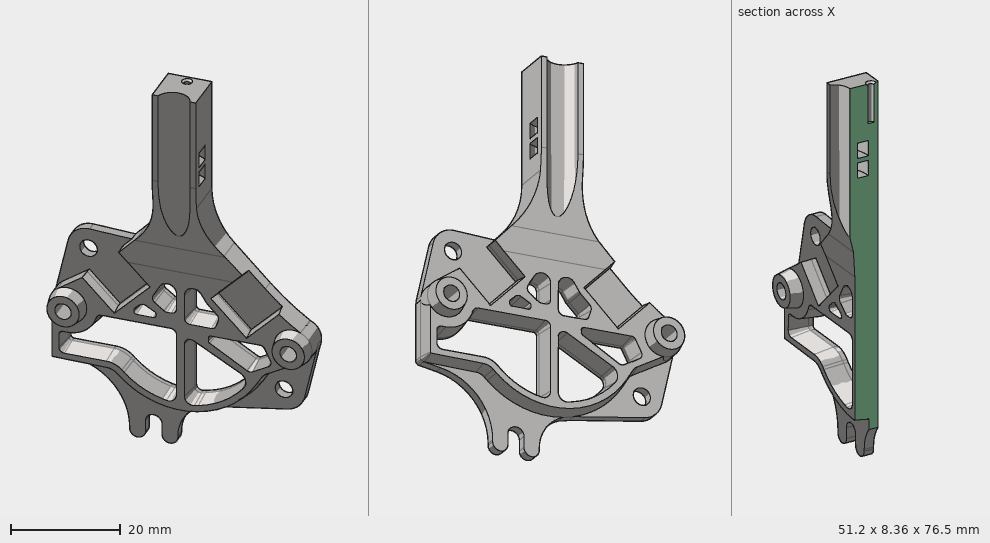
import cadquery as cq
import math


PLATE_DEPTH = 2.0
BODY_DEPTH = 5.0
BOSS_DEPTH = 7.5
STEM_DEPTH = 8.36
WINDOW_LAND = 1.0
POCKET_LAND = 3.0
RIGHT_POCKET_FLOOR = 2.5

WINDOW_DRAFT = 0.5
FRAME_DRAFT = 0.6
POCKET_DRAFT = 0.35

BOSS_X = 21.9
BOSS_SEAT_RADIUS = 3.68
BOSS_TIP_RADIUS = 3.15
BOSS_HOLE_DIAMETER = 3.2
LUG_X = 19.0
LUG_Z = 10.95
LUG_RADIUS = 4.1
LUG_HOLE_DIAMETER = 3.4
LEFT_BOSS = (-BOSS_X, 0)
RIGHT_BOSS = (BOSS_X, 0)
UPPER_LUG = (-LUG_X, LUG_Z)
LOWER_LUG = (LUG_X, -LUG_Z)
PLATE_TOP_AT_MIDDLE = 14.1

STEM_HALF_WIDTH = 4.25
STEM_TOP = 49.7
FLARE_RADIUS = 15.0
FLARE_X = STEM_HALF_WIDTH + FLARE_RADIUS
FLARE_Z = 27.3
STEM_FOOT = (-12.15, 13.0)
FRONT_BEND_TOP = 31.7
FRONT_INFLECTION = (-6.9, 22.6)
FRONT_RAMP_TOP = (-5.3, 16.5)
FRONT_RAMP_TANGENT = (0.2, -1)
FRONT_RAMP_BOTTOM = 11.4
SHOULDER_SWEEP_RADIUS = 49.0
SHOULDER_SWEEP_CENTER = (50.3, 44.3)
GROOVE_RADIUS = 3.25
GROOVE_AXIS_DEPTH = 9.3
TIE_INNER_RADIUS = 5.0
TIE_OUTER_RADIUS = 7.2
TIE_HEIGHT = 3.0
TIE_BOTTOMS = (31.2, 35.2)
TOP_HOLE_DIAMETER = 1.2
TOP_HOLE_MOUTH = 2.0
TOP_HOLE_AXIS_DEPTH = 1.55
TOP_HOLE_LENGTH = 8.0

OVERALL_HEIGHT = 76.52
BOTTOM = STEM_TOP - OVERALL_HEIGHT
FORK_X = -6.33
NOTCH_RADIUS = 1.6
TINE_RADIUS = 1.55
TINE_OFFSET = NOTCH_RADIUS + TINE_RADIUS
TINE_Z = BOTTOM + TINE_RADIUS
NOTCH_Z = -23.1
LEFT_SWEEP_RADIUS = 12.5
RIGHT_SWEEP_RADIUS = 7.5
SWEEP_Z = -24.9

FRAME_LEFT = -25.6
FRAME_BOTTOM = -12.0
FRAME_CORNER = 0.8
RING_Z = -0.5
RING_OUTER = 17.7
RING_INNER = 15.8
BEND = (-14.4, -14.55)
BEND_OUTER = 2.4
RIGHT_BEND = (17.97, -8.9)
RIGHT_BEND_RADIUS = 2.0
FRAME_END = (BOSS_X, -0.15)
RIB_HALF_WIDTH = 0.78
WINDOW_FLOOR = -10.24
WINDOW_ROOF = 0.8

DIAGONAL = math.sqrt(0.5)
POCKET_CORNER_X = 12.85
POCKET_CORNER_Z = 0.15
POCKET_WIDTH = 9.8
POCKET_LENGTH = 8.85
POCKET_OPEN_LENGTH = 13.0

SAME_POINT = 1e-4


def belt(circles, depth=0.0, grow=0.0):
    """Closed outline, counterclockwise, joining (x, z, radius) circles by tangent lines.

    A negative radius makes an inward-curving stretch and a zero radius a sharp corner.
    'grow' moves the whole outline outwards.
    """
    count = len(circles)
    rounds = [(x, z, r + grow) for x, z, r in circles]
    leaving = []
    for i, (x, z, r) in enumerate(rounds):
        next_x, next_z, next_r = rounds[(i + 1) % count]
        gap = math.hypot(next_x - x, next_z - z)
        lean = max(-1.0, min(1.0, (r - next_r) / gap))
        leaving.append(math.atan2(next_z - z, next_x - x) - math.acos(lean))

    def on_circle(i, angle):
        x, z, r = rounds[i % count]
        return (x + r * math.cos(angle), z + r * math.sin(angle))

    start = on_circle(0, leaving[0])
    outline = cq.Workplane("XZ", origin=(0, -depth, 0)).moveTo(*start)
    here = start
    for i in range(1, count + 1):
        angle_in = leaving[i - 1]
        angle_out = leaving[i % count]
        arrive = on_circle(i, angle_in)
        if math.dist(here, arrive) > SAME_POINT:
            outline = outline.lineTo(*arrive)
        radius = rounds[i % count][2]
        here = on_circle(i, angle_out)
        if radius != 0:
            turn = 1 if radius > 0 else -1
            sweep = turn * ((turn * (angle_out - angle_in)) % (2 * math.pi))
            middle = on_circle(i, angle_in + sweep / 2)
            outline = outline.threePointArc(middle, here)
    return outline.close()


def ruled_loft(start, end):
    """Solid with straight walls between two closed outlines."""
    wires = [start.wires().val(), end.wires().val()]
    return cq.Workplane(obj=cq.Solid.makeLoft(wires, True))


def drafted(circles, depth_from, depth_to, grow_from, grow_to):
    """Solid between two depths whose outline grows evenly from one to the other."""
    start = belt(circles, depth_from, grow_from)
    end = belt(circles, depth_to, grow_to)
    return ruled_loft(start, end)


def round_bar(center, radius, depth_from, depth_to):
    """Cylinder along Y between two depths."""
    plane = cq.Workplane("XZ", origin=(0, -depth_from, 0))
    return plane.center(*center).circle(radius).extrude(depth_to - depth_from)


def make_plate():
    """Thin back plate with two lugs and the fork at the bottom."""
    left_sweep_x = FORK_X - TINE_OFFSET - TINE_RADIUS - LEFT_SWEEP_RADIUS
    right_sweep_x = FORK_X + TINE_OFFSET + TINE_RADIUS + RIGHT_SWEEP_RADIUS
    return belt([
        (FRAME_LEFT + FRAME_CORNER, FRAME_BOTTOM + FRAME_CORNER, FRAME_CORNER),
        (left_sweep_x, SWEEP_Z, -LEFT_SWEEP_RADIUS),
        (FORK_X - TINE_OFFSET, TINE_Z, TINE_RADIUS),
        (FORK_X, NOTCH_Z, -NOTCH_RADIUS),
        (FORK_X + TINE_OFFSET, TINE_Z, TINE_RADIUS),
        (right_sweep_x, SWEEP_Z, -RIGHT_SWEEP_RADIUS),
        (*LOWER_LUG, LUG_RADIUS),
        (*RIGHT_BOSS, BOSS_SEAT_RADIUS),
        (0, PLATE_TOP_AT_MIDDLE, 0),
        (*UPPER_LUG, LUG_RADIUS),
        (*LEFT_BOSS, BOSS_SEAT_RADIUS),
    ]).extrude(PLATE_DEPTH)


FRAME = [
    (FRAME_LEFT + FRAME_CORNER, FRAME_BOTTOM + FRAME_CORNER, FRAME_CORNER),
    (*BEND, -BEND_OUTER),
    (0, RING_Z, RING_OUTER),
    (*RIGHT_BEND, -RIGHT_BEND_RADIUS),
    (*FRAME_END, BOSS_SEAT_RADIUS),
    (FRAME_LEFT + FRAME_CORNER, 2 * FRAME_CORNER, FRAME_CORNER),
]


def make_frame():
    """Lower frame: straight through the plate depth, then drafted inwards to the front."""
    base = belt(FRAME).extrude(PLATE_DEPTH)
    frame = base.union(drafted(FRAME, PLATE_DEPTH, BODY_DEPTH, 0, -FRAME_DRAFT))
    span = 4 * BOSS_X
    below_zero = cq.Workplane("XY").rect(span, span).extrude(-span)
    return frame.intersect(below_zero)


def make_upper_body():
    """Cross bar, shoulders and stem, with the front following the stem's side profile."""
    shoulder = (
        -POCKET_CORNER_X - POCKET_LENGTH * DIAGONAL,
        POCKET_CORNER_Z + POCKET_LENGTH * DIAGONAL,
    )
    outline = belt([
        (*RIGHT_BOSS, BOSS_SEAT_RADIUS),
        (*SHOULDER_SWEEP_CENTER, -SHOULDER_SWEEP_RADIUS),
        (FLARE_X, FLARE_Z, -FLARE_RADIUS),
        (STEM_HALF_WIDTH, STEM_TOP, 0),
        (-STEM_HALF_WIDTH, STEM_TOP, 0),
        (-FLARE_X, FLARE_Z, -FLARE_RADIUS),
        (*STEM_FOOT, 0),
        (*shoulder, 0),
        (*LEFT_BOSS, BOSS_SEAT_RADIUS),
    ]).extrude(STEM_DEPTH)
    reach = BOSS_X + 2 * BOSS_SEAT_RADIUS
    low = -2 * BOSS_SEAT_RADIUS
    profile = (
        cq.Workplane("YZ", origin=(-reach, 0, 0))
        .moveTo(0, low)
        .lineTo(0, STEM_TOP)
        .lineTo(-STEM_DEPTH, STEM_TOP)
        .lineTo(-STEM_DEPTH, FRONT_BEND_TOP)
        .spline(
            [FRONT_INFLECTION, FRONT_RAMP_TOP],
            tangents=[(0, -1), FRONT_RAMP_TANGENT],
            includeCurrent=True,
        )
        .lineTo(-BODY_DEPTH, FRONT_RAMP_BOTTOM)
        .lineTo(-BODY_DEPTH, low)
        .close()
        .extrude(2 * reach)
    )
    return outline.intersect(profile)


def make_pocket(side, floor):
    """Square pocket turned 45 degrees, open towards the top; side is -1 left, +1 right.

    A floor of 0 clears the body right through.
    """
    def corner(across, outward):
        x = POCKET_CORNER_X + (outward - across) * DIAGONAL
        z = POCKET_CORNER_Z + (outward + across) * DIAGONAL
        return (side * x, z)

    def section(depth, inset):
        near, far = inset, POCKET_WIDTH - inset
        points = [
            corner(near, near),
            corner(far, near),
            corner(far, POCKET_OPEN_LENGTH),
            corner(near, POCKET_OPEN_LENGTH),
        ]
        return cq.Workplane("XZ", origin=(0, -depth, 0)).polyline(points).close()

    land = section(floor, POCKET_DRAFT).extrude(POCKET_LAND - floor)
    front = 2 * BODY_DEPTH - POCKET_LAND
    flare = ruled_loft(section(POCKET_LAND, POCKET_DRAFT), section(front, -POCKET_DRAFT))
    return land.union(flare)


TIGHT = 0.55
RING_CORNER = 1.6
RING_CORNER_X = RIB_HALF_WIDTH + RING_CORNER
RING_CORNER_Z = -14.52
DOME = 1.75
DOME_X = RIB_HALF_WIDTH + DOME
DOME_Z = 6.7
BOSS_WALL_RADIUS = 5.7
STRUT_LEFT_X = 5.97
SMALL_LEFT_X = -8.5
SMALL_RIGHT_X = -5.3
SMALL_SIDE_Z = 1.6

WINDOWS = {
    "left large": [
        (-22.55, WINDOW_FLOOR + 1.1, 1.1),
        (*BEND, BEND[1] - WINDOW_FLOOR),
        (0, RING_Z, RING_INNER),
        (-RING_CORNER_X, RING_CORNER_Z, RING_CORNER),
        (-RIB_HALF_WIDTH - 1.1, -WINDOW_ROOF - 1.1, 1.1),
        (-15.4, -WINDOW_ROOF - 1.0, 1.0),
        (*LEFT_BOSS, -BOSS_WALL_RADIUS),
        (-22.84, -6.5, 0.8),
    ],
    "right large": [
        (RING_CORNER_X, RING_CORNER_Z, RING_CORNER),
        (0, RING_Z, RING_INNER),
        (10.7, -9.22, 2.0),
        (RIB_HALF_WIDTH + 1.2, -3.54, 1.2),
    ],
    "right strut": [
        (STRUT_LEFT_X, -1.9, TIGHT),
        (13.5, -5.7, 1.1),
        (16.6, -4.1, 1.0),
        (15.5, -WINDOW_ROOF - 0.9, 0.9),
        (STRUT_LEFT_X, -WINDOW_ROOF - TIGHT, TIGHT),
    ],
    "left upper": [
        (-RIB_HALF_WIDTH - 1.0, 3.45, 1.0),
        (-DOME_X, DOME_Z, DOME),
        (-4.35, 4.9, 1.1),
        (-2.6, 3.45, 1.0),
    ],
    "right upper": [
        (RIB_HALF_WIDTH + 1.1, WINDOW_ROOF + 1.1, 1.1),
        (6.0, WINDOW_ROOF + 0.95, 0.95),
        (6.3, 3.1, 1.1),
        (6.8, 7.3, -2.2),
        (DOME_X, DOME_Z, DOME),
    ],
    "left small": [
        (SMALL_LEFT_X, WINDOW_ROOF + TIGHT, TIGHT),
        (SMALL_RIGHT_X, WINDOW_ROOF + TIGHT, TIGHT),
        (SMALL_RIGHT_X, SMALL_SIDE_Z, TIGHT),
        (-7.2, 2.15, 1.0),
        (SMALL_LEFT_X, SMALL_SIDE_Z, TIGHT),
    ],
}


def make_window(circles):
    """Through opening: straight next to the back, then widening towards the front."""
    land = belt(circles, 0, -WINDOW_DRAFT).extrude(WINDOW_LAND)
    return land.union(drafted(circles, WINDOW_LAND, BODY_DEPTH, -WINDOW_DRAFT, 0))


def make_boss(center):
    """Tapered boss on a straight round seat that reaches the back."""
    plane = cq.Workplane("XZ", origin=(0, -BODY_DEPTH, 0)).center(*center)
    cone = (
        plane.circle(BOSS_SEAT_RADIUS)
        .workplane(offset=BOSS_DEPTH - BODY_DEPTH)
        .circle(BOSS_TIP_RADIUS)
        .loft()
    )
    return cone.union(round_bar(center, BOSS_SEAT_RADIUS, 0, BODY_DEPTH))


def make_groove():
    """Round channel down the front of the stem, running out in the curved front."""
    length = STEM_TOP - STEM_FOOT[1]
    plane = cq.Workplane("XY", origin=(0, -GROOVE_AXIS_DEPTH, STEM_FOOT[1]))
    return plane.circle(GROOVE_RADIUS).extrude(length)


def make_tie_slot(bottom):
    """Curved slot that passes around the groove from one side of the stem to the other."""
    plane = cq.Workplane("XY", origin=(0, -GROOVE_AXIS_DEPTH, bottom))
    return plane.circle(TIE_OUTER_RADIUS).circle(TIE_INNER_RADIUS).extrude(TIE_HEIGHT)


def make_top_hole():
    """Small countersunk hole in the top end of the stem."""
    plane = cq.Workplane("XY", origin=(0, -TOP_HOLE_AXIS_DEPTH, STEM_TOP))
    hole = plane.circle(TOP_HOLE_DIAMETER / 2).extrude(-TOP_HOLE_LENGTH)
    flare = (TOP_HOLE_MOUTH - TOP_HOLE_DIAMETER) / 2
    mouth = (
        plane.circle(TOP_HOLE_MOUTH / 2)
        .workplane(offset=-flare)
        .circle(TOP_HOLE_DIAMETER / 2)
        .loft()
    )
    return hole.union(mouth)


result = make_upper_body().union(make_frame())
result = result.cut(make_pocket(-1, 0)).cut(make_pocket(1, RIGHT_POCKET_FLOOR))
result = result.union(make_plate())
for boss in (LEFT_BOSS, RIGHT_BOSS):
    result = result.union(make_boss(boss))
for window in WINDOWS.values():
    result = result.cut(make_window(window))
for boss in (LEFT_BOSS, RIGHT_BOSS):
    result = result.cut(round_bar(boss, BOSS_HOLE_DIAMETER / 2, 0, BOSS_DEPTH))
for lug in (UPPER_LUG, LOWER_LUG):
    result = result.cut(round_bar(lug, LUG_HOLE_DIAMETER / 2, 0, PLATE_DEPTH))
result = result.cut(make_groove()).cut(make_top_hole())
for slot_bottom in TIE_BOTTOMS:
    result = result.cut(make_tie_slot(slot_bottom))